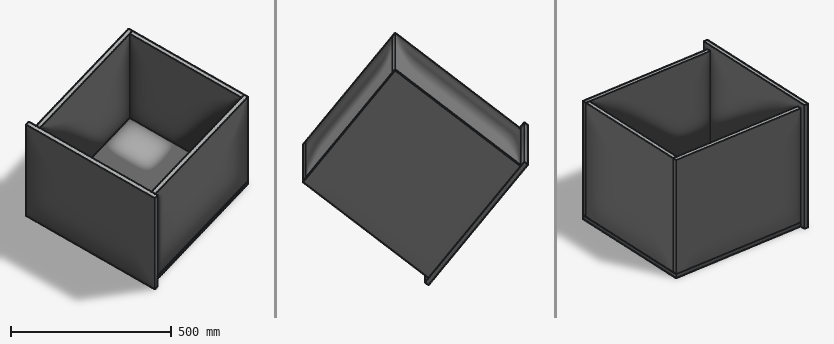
import cadquery as cq

front_width = 500.0
front_height = 450.0
total_depth = 515.0
board_thickness = 15.0
front_side_overhang = 18.5
front_top_overhang = 20.0

box_width = front_width - 2 * front_side_overhang
box_depth = total_depth - board_thickness
wall_height = front_height - front_top_overhang - board_thickness
back_width = box_width - 2 * board_thickness
side_center_x = (box_width - board_thickness) / 2


def make_board(width, depth, height, center_x, front_y, bottom_z):
    """Rectangular board centred on center_x, starting at front_y and bottom_z."""
    return (
        cq.Workplane("XY")
        .box(width, depth, height, centered=(True, False, False))
        .translate((center_x, front_y, bottom_z))
    )


def make_front_panel():
    return make_board(front_width, board_thickness, front_height, 0, 0, 0)


def make_bottom_panel():
    """Bottom under all the walls, flush with their outer faces."""
    return make_board(box_width, box_depth, board_thickness, 0, board_thickness, 0)


def make_side_panel(center_x):
    """Full-depth wall standing on the bottom panel."""
    return make_board(
        board_thickness, box_depth, wall_height, center_x, board_thickness, board_thickness
    )


def make_back_panel():
    """Rear wall fitted between the side panels."""
    back_y = total_depth - board_thickness
    return make_board(back_width, board_thickness, wall_height, 0, back_y, board_thickness)


front_panel = make_front_panel()
bottom_panel = make_bottom_panel()
side_panels = [make_side_panel(sign * side_center_x) for sign in (-1, 1)]
back_panel = make_back_panel()

result = cq.Compound.makeCompound([
    front_panel.val(),
    bottom_panel.val(),
    *[panel.val() for panel in side_panels],
    back_panel.val(),
])